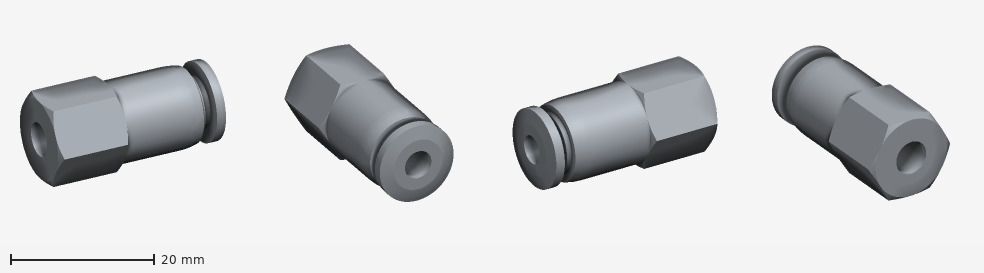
import cadquery as cq
import math

total_length = 26.7
hex_length = 10.97
shoulder_start = total_length - 6.17
shoulder_end = total_length - 3.7
step_end = total_length - 2.96
neck_end = total_length - 1.82
flange_rim_end = total_length - 0.43

across_flats = 12.0
body_radius = across_flats / 2
shoulder_end_radius = 5.63
step_radius = 4.6
neck_radius = 3.85
flange_radius = 5.9
flange_face_radius = 3.87

corner_radius = body_radius / math.cos(math.radians(30))
corner_chamfer_angle = 30.0

through_radius = 2.1
socket_radius = 2.5
socket_depth = 8.0


def revolve_about_y(profile):
    """Turn a closed (radius, Y) profile about the Y axis."""
    return profile.close().revolve(360, (0, 0, 0), (0, 1, 0))


def cylinder_along_y(radius, length):
    """Solid cylinder starting at the hexagon end face."""
    return cq.Workplane("XZ").circle(radius).extrude(-length)


def make_hexagon():
    """Hexagon with its corners bevelled by a cone at both ends."""
    prism = cq.Workplane("XZ").polygon(6, 2 * corner_radius).extrude(-hex_length)
    bevel = (corner_radius - body_radius) * math.tan(math.radians(corner_chamfer_angle))
    envelope = revolve_about_y(
        cq.Workplane("XY")
        .moveTo(0, 0)
        .lineTo(body_radius, 0)
        .lineTo(corner_radius, bevel)
        .lineTo(corner_radius, hex_length - bevel)
        .lineTo(body_radius, hex_length)
        .lineTo(0, hex_length)
    )
    return prism.intersect(envelope)


def make_turned_body():
    """Cylindrical body with a rounded shoulder, neck and release flange."""
    return revolve_about_y(
        cq.Workplane("XY")
        .moveTo(0, 0)
        .lineTo(body_radius, 0)
        .lineTo(body_radius, shoulder_start)
        .tangentArcPoint((shoulder_end_radius, shoulder_end), relative=False)
        .lineTo(step_radius, shoulder_end)
        .lineTo(step_radius, step_end)
        .lineTo(neck_radius, step_end)
        .lineTo(neck_radius, neck_end)
        .lineTo(flange_radius, neck_end)
        .lineTo(flange_radius, flange_rim_end)
        .lineTo(flange_face_radius, total_length)
        .lineTo(0, total_length)
    )


result = (
    make_hexagon()
    .union(make_turned_body())
    .cut(cylinder_along_y(through_radius, total_length))
    .cut(cylinder_along_y(socket_radius, socket_depth))
)